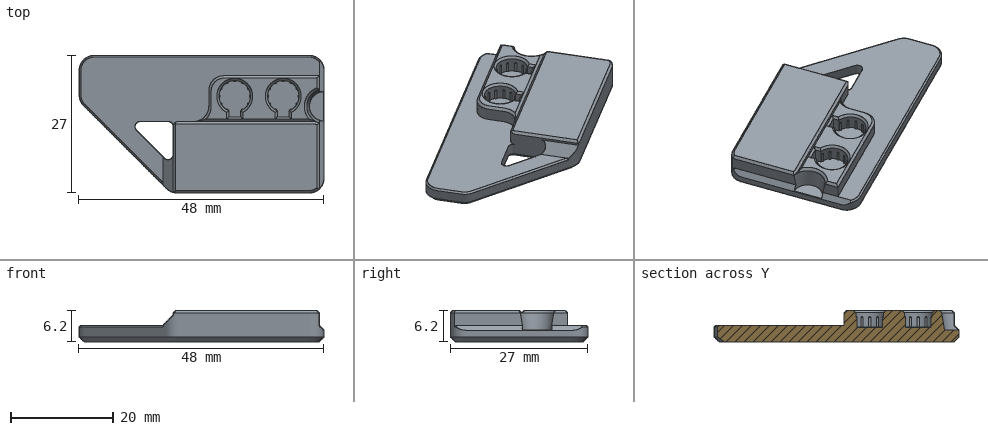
import cadquery as cq

LENGTH = 48.0
WIDTH = 27.0
HEIGHT = 6.2
PLATE_TOP = 3.25
CORNER_CUT = 18.0
CORNER_RADIUS = 3.0
BOTTOM_CHAMFER = 1.0
PLATE_CHAMFER = 0.35

BEVEL_WIDTH = 0.95

BLOCK_LEFT = 18.45
BLOCK_BACK = 14.0
BLOCK_CORNER_RADIUS = 1.0
HOLDER_LEFT = 25.4
HOLDER_BACK = 23.0
RAISED_CHAMFER = 0.5
RAISED_RIGHT = LENGTH - BEVEL_WIDTH

RAMP_WIDTH = 2.0
RAMP_BACK = 7.7

WINDOW_LEG = 8.9
WINDOW_RADIUS = 1.0

POCKET_CENTERS_X = (30.5, 40.0)
POCKET_RADIUS = 3.05
POCKET_FLOOR = 2.95
POCKET_CHAMFER = 0.45
POCKET_Y = 18.95
SLOT_WIDTH = 2.3
SLOT_FRONT = BLOCK_BACK + RAISED_CHAMFER + POCKET_CHAMFER
RIB_COUNT = 12
RIB_RADIUS = 0.25
RIB_PROTRUSION = 0.17
RIB_TIP = 0.2
RIB_TOP = 5.0

RECESS_Y = 17.0
RECESS_FLOOR = 2.4
RECESS_FLOOR_RADIUS = 2.9
RECESS_RIM_RADIUS = 3.4


def plate_outline(height):
    """Solid with the plan shape of the whole part and no chamfers."""
    corners = [(0, WIDTH), (0, CORNER_CUT), (CORNER_CUT, 0), (LENGTH, 0), (LENGTH, WIDTH)]
    return cq.Workplane("XY").polyline(corners).close().extrude(height).edges("|Z").fillet(CORNER_RADIUS)


def make_plate():
    """Plate with a small top chamfer; the bottom chamfer also runs around the window."""
    plate = plate_outline(PLATE_TOP).faces(">Z").chamfer(PLATE_CHAMFER)
    return plate.cut(make_window()).faces("<Z").chamfer(BOTTOM_CHAMFER)


def make_block_corner():
    """Sliver that rounds the upright corner of the block, leaving its chamfer mitred."""
    return (
        cq.Workplane("XY")
        .moveTo(BLOCK_LEFT, BLOCK_BACK)
        .lineTo(BLOCK_LEFT + BLOCK_CORNER_RADIUS, BLOCK_BACK)
        .radiusArc((BLOCK_LEFT, BLOCK_BACK - BLOCK_CORNER_RADIUS), -BLOCK_CORNER_RADIUS)
        .close()
        .extrude(HEIGHT)
    )


def make_raised_body():
    """Block and holder as one outline, trimmed to the plate, chamfered around the top."""
    body = (
        cq.Workplane("XY", origin=(0, 0, BOTTOM_CHAMFER))
        .moveTo(BLOCK_LEFT, 0)
        .lineTo(RAISED_RIGHT, 0)
        .lineTo(RAISED_RIGHT, HOLDER_BACK)
        .lineTo(HOLDER_LEFT + CORNER_RADIUS, HOLDER_BACK)
        .radiusArc((HOLDER_LEFT, HOLDER_BACK - CORNER_RADIUS), -CORNER_RADIUS)
        .lineTo(HOLDER_LEFT, BLOCK_BACK + CORNER_RADIUS)
        .radiusArc((HOLDER_LEFT - CORNER_RADIUS, BLOCK_BACK), CORNER_RADIUS)
        .lineTo(BLOCK_LEFT, BLOCK_BACK)
        .close()
        .extrude(HEIGHT - BOTTOM_CHAMFER)
    )
    body = body.intersect(plate_outline(HEIGHT)).faces(">Z").chamfer(RAISED_CHAMFER)
    return body.cut(make_block_corner())


def make_ramp():
    """45 degree wedge between the plate and the left face of the block."""
    foot_x = BLOCK_LEFT - RAMP_WIDTH
    wedge = (
        cq.Workplane("XZ")
        .polyline([
            (foot_x, PLATE_TOP),
            (foot_x, BOTTOM_CHAMFER),
            (BLOCK_LEFT, BOTTOM_CHAMFER),
            (BLOCK_LEFT, PLATE_TOP + RAMP_WIDTH),
        ])
        .close()
        .extrude(-RAMP_BACK)
    )
    return wedge.intersect(plate_outline(HEIGHT))


def make_edge_bevel():
    """Triangular prism that takes the top edge off the +X side."""
    return (
        cq.Workplane("XZ")
        .polyline([
            (RAISED_RIGHT, PLATE_TOP),
            (LENGTH, PLATE_TOP - BEVEL_WIDTH),
            (LENGTH, PLATE_TOP),
        ])
        .close()
        .extrude(-WIDTH)
    )


def make_groove():
    """V groove that separates the holder from the block."""
    return (
        cq.Workplane("YZ", origin=(BLOCK_LEFT + BLOCK_CORNER_RADIUS, 0, 0))
        .polyline([
            (BLOCK_BACK - RAISED_CHAMFER, HEIGHT),
            (BLOCK_BACK, HEIGHT - RAISED_CHAMFER),
            (BLOCK_BACK + RAISED_CHAMFER, HEIGHT),
        ])
        .close()
        .extrude(LENGTH)
    )


def make_window():
    """Triangular through opening with rounded corners."""
    return (
        cq.Workplane("XY")
        .polyline([
            (BLOCK_LEFT, BLOCK_BACK),
            (BLOCK_LEFT - WINDOW_LEG, BLOCK_BACK),
            (BLOCK_LEFT, BLOCK_BACK - WINDOW_LEG),
        ])
        .close()
        .extrude(HEIGHT)
        .edges("|Z")
        .fillet(WINDOW_RADIUS)
    )


def make_rib(angle):
    """Crush rib with a tapered top, partly sunk in the pocket wall."""
    distance = POCKET_RADIUS + RIB_RADIUS - RIB_PROTRUSION
    rib = (
        cq.Workplane("XY", origin=(distance, 0, POCKET_FLOOR))
        .circle(RIB_RADIUS)
        .extrude(RIB_TOP - POCKET_FLOOR)
        .faces(">Z")
        .chamfer(RIB_TIP)
    )
    return rib.rotate((0, 0, 0), (0, 0, 1), angle)


def make_pocket():
    """Cutter for one magnet pocket, centred on the origin in X and Y."""
    depth = HEIGHT - POCKET_FLOOR
    slot_length = POCKET_Y - SLOT_FRONT
    bore = cq.Workplane("XY", origin=(0, 0, POCKET_FLOOR)).circle(POCKET_RADIUS).extrude(depth)
    for index in range(RIB_COUNT):
        bore = bore.cut(make_rib(index * 360 / RIB_COUNT))
    bore_rim = (
        cq.Workplane("XY", origin=(0, 0, HEIGHT))
        .circle(POCKET_RADIUS + POCKET_CHAMFER)
        .workplane(offset=-POCKET_CHAMFER)
        .circle(POCKET_RADIUS)
        .loft(ruled=True)
    )
    slot = (
        cq.Workplane("XY", origin=(0, -slot_length / 2, POCKET_FLOOR))
        .rect(SLOT_WIDTH, slot_length)
        .extrude(depth)
    )
    slot_rim = (
        cq.Workplane("XY", origin=(0, -slot_length / 2, HEIGHT))
        .rect(SLOT_WIDTH + 2 * POCKET_CHAMFER, slot_length + 2 * POCKET_CHAMFER)
        .workplane(offset=-POCKET_CHAMFER)
        .rect(SLOT_WIDTH, slot_length)
        .loft(ruled=True)
    )
    return bore.union(bore_rim).union(slot).union(slot_rim)


def make_recess():
    """Tapered round cutter with a 45 degree rim."""
    rim_z = HEIGHT - RAISED_CHAMFER
    profile = [
        (0, RECESS_FLOOR),
        (RECESS_FLOOR_RADIUS, RECESS_FLOOR),
        (RECESS_RIM_RADIUS, rim_z),
        (RECESS_RIM_RADIUS + RAISED_CHAMFER, HEIGHT),
        (0, HEIGHT),
    ]
    cutter = cq.Workplane("XZ").polyline(profile).close().revolve(360, (0, 0, 0), (0, 1, 0))
    return cutter.translate((LENGTH, RECESS_Y, 0))


result = make_plate().cut(make_edge_bevel()).union(make_raised_body()).union(make_ramp())
result = result.cut(make_window()).cut(make_groove()).cut(make_recess())
for center_x in POCKET_CENTERS_X:
    result = result.cut(make_pocket().translate((center_x, POCKET_Y, 0)))